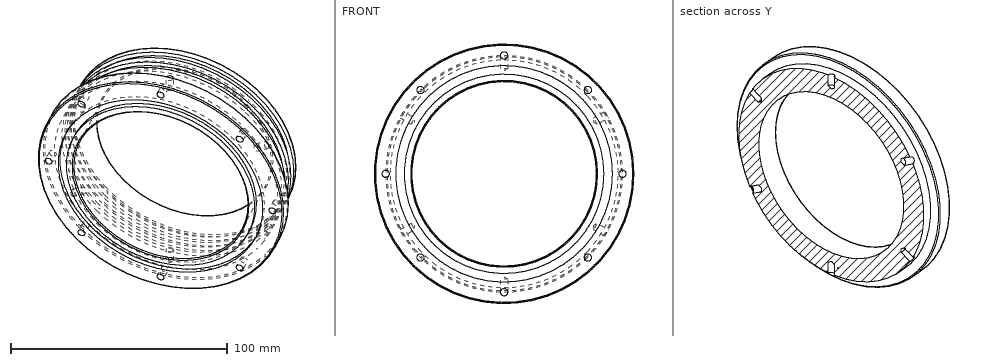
import cadquery as cq
import math

total_length = 34.0
flange_thickness = 8.0
seal_groove_width = 4.1
front_groove_start = 18.6
back_groove_start = 26.2
radial_hole_y = 13.0

flange_radius = 60
body_radius = 54.7
seal_groove_depth = 2.0
bore_radius = 42.6
face_groove_inner_radius = 46.1
face_groove_outer_radius = 50.0
face_groove_depth = 2.4

chamfer = 0.6

hole_radius = 1.7
hole_depth = 6
drill_point_angle = 118
face_hole_count = 8
radial_hole_count = 6
first_radial_hole_angle = 30


def ring(inner_radius, outer_radius, start, length):
    """Plain ring around the Y axis, from Y = start to Y = start + length."""
    plane = cq.Workplane("XZ", origin=(0, start, 0))
    return plane.circle(outer_radius).circle(inner_radius).extrude(-length)


def drilled_hole(center, direction):
    """Cutter for a blind hole that enters at center and runs along direction."""
    tip_length = hole_radius / math.tan(math.radians(drill_point_angle / 2))
    shank = cq.Solid.makeCylinder(hole_radius, hole_depth, center, direction)
    tip = cq.Solid.makeCone(hole_radius, 0, tip_length, center + direction * hole_depth, direction)
    return shank.fuse(tip)


def around_axis(angle):
    """Unit vector pointing away from the Y axis; the angle starts at +X and turns toward +Z."""
    return cq.Vector(math.cos(math.radians(angle)), 0, math.sin(math.radians(angle)))


widest_circle = cq.selectors.RadiusNthSelector(-1)
narrowest_circle = cq.selectors.RadiusNthSelector(0)

flange = ring(bore_radius, flange_radius, 0, flange_thickness)
flange = flange.faces("<Y or >Y").edges(widest_circle).chamfer(chamfer)
body = ring(bore_radius, body_radius, 0, total_length)
result = flange.union(body)

result = result.faces(">Y").edges().chamfer(chamfer)
result = result.faces("<Y").edges(narrowest_circle).chamfer(chamfer)

groove_floor_radius = body_radius - seal_groove_depth
for groove_start in (front_groove_start, back_groove_start):
    result = result.cut(ring(groove_floor_radius, body_radius, groove_start, seal_groove_width))

result = result.cut(ring(face_groove_inner_radius, face_groove_outer_radius, 0, face_groove_depth))

for index in range(face_hole_count):
    center = around_axis(index * 360 / face_hole_count) * body_radius
    result = result.cut(cq.Workplane(drilled_hole(center, cq.Vector(0, 1, 0))))

for index in range(radial_hole_count):
    outward = around_axis(first_radial_hole_angle + index * 360 / radial_hole_count)
    center = outward * body_radius + cq.Vector(0, radial_hole_y, 0)
    result = result.cut(cq.Workplane(drilled_hole(center, outward * -1)))